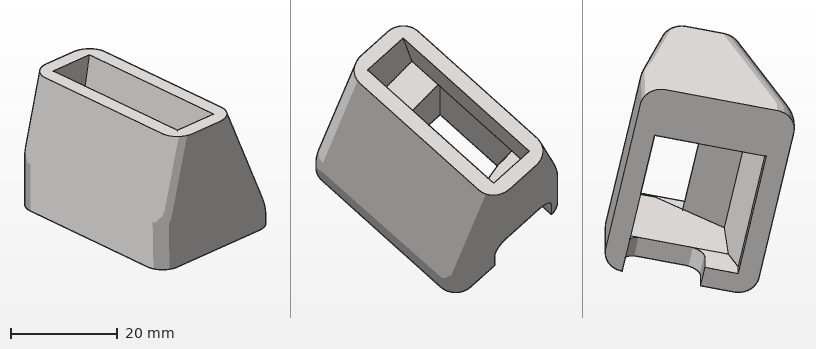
import cadquery as cq
import math

LENGTH = 39.4
DEPTH = 29.4
HEIGHT = 26.75
TOP_FRONT_Y = -10.8
TOP_BACK_Y = 4.6
FRONT_KNEE_Z = 11.1
BACK_KNEE_Z = 3.5
KNEE_RADIUS = 10.0
SIDE_EDGE_RADIUS = 3.98

RIM = 3.0
SLOT_TILT = 10.0
SLOT_LENGTH = 15.0

WALL = 4.0
NOTCH_BACK_Y = 4.3
NOTCH_HEIGHT = 7.0
NOTCH_RADIUS = 3.0
OPENING_HALF_LENGTH = 9.77

FRONT_Y = -DEPTH / 2
BACK_Y = DEPTH / 2
LEFT_X = -LENGTH / 2
CAVITY_FRONT_Y = FRONT_Y + WALL
CAVITY_LEFT_X = LEFT_X + WALL

tilt = math.radians(SLOT_TILT)
slot_front_y = TOP_FRONT_Y + RIM
slot_back_y = TOP_BACK_Y - RIM
slot_thickness = (slot_back_y - slot_front_y) * math.cos(tilt)
floor_back_y = slot_back_y - SLOT_LENGTH * math.sin(tilt)
floor_back_z = HEIGHT - SLOT_LENGTH * math.cos(tilt)
floor_front_y = floor_back_y - slot_thickness * math.cos(tilt)
floor_front_z = floor_back_z + slot_thickness * math.sin(tilt)


def floor_z(y):
    """Height of the slot floor plane at a given Y."""
    return floor_back_z + (floor_back_y - y) * math.tan(tilt)


def prism_along_x(points, x_start, x_end):
    """Extrude a YZ outline between two X positions."""
    return cq.Workplane("YZ", origin=(x_start, 0, 0)).polyline(points).close().extrude(x_end - x_start)


def make_body():
    outline = [
        (FRONT_Y, 0),
        (BACK_Y, 0),
        (BACK_Y, BACK_KNEE_Z),
        (TOP_BACK_Y, HEIGHT),
        (TOP_FRONT_Y, HEIGHT),
        (FRONT_Y, FRONT_KNEE_Z),
    ]
    body = prism_along_x(outline, LEFT_X, -LEFT_X)
    for y, z in ((FRONT_Y, FRONT_KNEE_Z), (BACK_Y, BACK_KNEE_Z)):
        body = body.edges(cq.selectors.NearestToPointSelector((0, y, z))).fillet(KNEE_RADIUS)
    return body.faces("<X or >X").edges("not |Y").fillet(SIDE_EDGE_RADIUS)


def make_slot():
    outline = [
        (slot_front_y, HEIGHT),
        (slot_back_y, HEIGHT),
        (floor_back_y, floor_back_z),
        (floor_front_y, floor_front_z),
    ]
    return prism_along_x(outline, LEFT_X + RIM, -LEFT_X - RIM)


def make_cavity():
    """Hollow below the slot: even walls at front and back, 45 degree roof on the -X side."""
    lean = math.atan2(BACK_Y - TOP_BACK_Y, HEIGHT - BACK_KNEE_Z)
    cavity_back_y = BACK_Y - WALL
    cavity_knee_z = BACK_KNEE_Z - WALL * math.tan(lean / 2)
    rise = (floor_z(cavity_back_y) - cavity_knee_z) / (1 - math.tan(lean) * math.tan(tilt))
    roof_back_y = cavity_back_y - rise * math.tan(lean)
    cross_section = prism_along_x(
        [
            (CAVITY_FRONT_Y, 0),
            (cavity_back_y, 0),
            (cavity_back_y, cavity_knee_z),
            (roof_back_y, floor_z(roof_back_y)),
            (CAVITY_FRONT_Y, floor_z(CAVITY_FRONT_Y)),
        ],
        CAVITY_LEFT_X,
        OPENING_HALF_LENGTH,
    )
    roof_rise = -OPENING_HALF_LENGTH - CAVITY_LEFT_X
    long_section = (
        cq.Workplane("XZ", origin=(0, BACK_Y, 0))
        .moveTo(CAVITY_LEFT_X, 0)
        .lineTo(CAVITY_LEFT_X, NOTCH_HEIGHT)
        .lineTo(-OPENING_HALF_LENGTH, NOTCH_HEIGHT + roof_rise)
        .lineTo(-OPENING_HALF_LENGTH, HEIGHT)
        .lineTo(OPENING_HALF_LENGTH, HEIGHT)
        .lineTo(OPENING_HALF_LENGTH, 0)
        .close()
        .extrude(DEPTH)
    )
    return cross_section.intersect(long_section)


def make_notch():
    outline = [
        (CAVITY_FRONT_Y, 0),
        (NOTCH_BACK_Y, 0),
        (NOTCH_BACK_Y, NOTCH_HEIGHT),
        (CAVITY_FRONT_Y, NOTCH_HEIGHT),
    ]
    notch = prism_along_x(outline, LEFT_X, CAVITY_LEFT_X)
    return notch.faces(">Z").edges("|X").fillet(NOTCH_RADIUS)


result = make_body().cut(make_slot()).cut(make_cavity()).cut(make_notch())